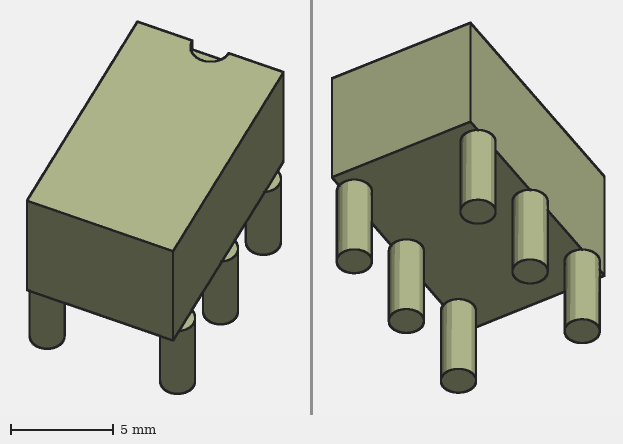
import cadquery as cq

housing_width = 7.87
housing_length = 12.88
housing_height = 6.58

notch_radius = 0.98
notch_depth = 0.66

overall_height = 11.22
overall_width = 8.75
pin_diameter = 1.73
pin_length = overall_height - housing_height
row_spacing = overall_width - pin_diameter
pin_pitch = 5.0
pins_per_row = 3


def make_housing():
    """Block standing on Z = 0, with the half-round notch cut into its top."""
    block = cq.Workplane("XY").box(
        housing_width, housing_length, housing_height, centered=(True, True, False)
    )
    notch = (
        cq.Workplane("XY", origin=(0, housing_length / 2, housing_height))
        .circle(notch_radius)
        .extrude(-notch_depth)
    )
    return block.cut(notch)


def make_pin(x, y):
    """Round pin hanging from the underside of the housing."""
    return cq.Workplane("XY", origin=(x, y, 0)).circle(pin_diameter / 2).extrude(-pin_length)


housing = make_housing()

pins = []
for x in (-row_spacing / 2, row_spacing / 2):
    for index in range(pins_per_row):
        y = (index - (pins_per_row - 1) / 2) * pin_pitch
        pins.append(make_pin(x, y).val())

result = cq.Compound.makeCompound([housing.val(), *pins])